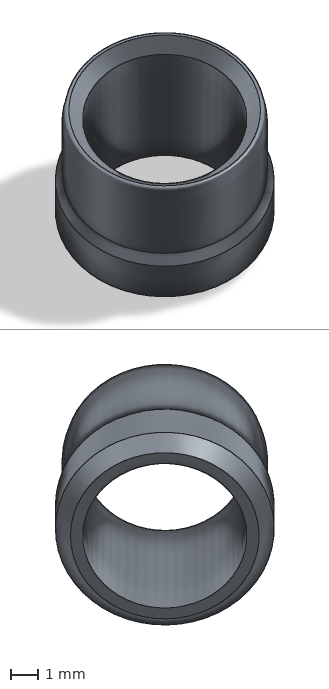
import cadquery as cq
import math

total_height = 6.5
collar_top = 2.36
shoulder_top = 2.81
lead_in_start = 5.9

bore_radius = 6 / 2
sleeve_radius = 7.5 / 2
collar_radius = 8 / 2

bottom_chamfer = 0.55
mouth_chamfer = 0.5

lead_in_angle = math.radians(10)
rim_round_radius = 0.1

round_center_height = total_height - rim_round_radius
round_start_height = round_center_height + rim_round_radius * math.sin(lead_in_angle)
round_start_radius = sleeve_radius - (round_start_height - lead_in_start) * math.tan(lead_in_angle)
rim_outer_radius = round_start_radius - rim_round_radius * math.cos(lead_in_angle)

round_middle_angle = (lead_in_angle + math.pi / 2) / 2
round_middle = (
    rim_outer_radius + rim_round_radius * math.cos(round_middle_angle),
    round_center_height + rim_round_radius * math.sin(round_middle_angle),
)

half_section = (
    cq.Workplane("XZ")
    .moveTo(bore_radius, 0)
    .lineTo(collar_radius - bottom_chamfer, 0)
    .lineTo(collar_radius, bottom_chamfer)
    .lineTo(collar_radius, collar_top)
    .lineTo(sleeve_radius, shoulder_top)
    .lineTo(sleeve_radius, lead_in_start)
    .lineTo(round_start_radius, round_start_height)
    .threePointArc(round_middle, (rim_outer_radius, total_height))
    .lineTo(bore_radius + mouth_chamfer, total_height)
    .lineTo(bore_radius, total_height - mouth_chamfer)
    .close()
)

result = half_section.revolve(360, (0, 0, 0), (0, 1, 0))